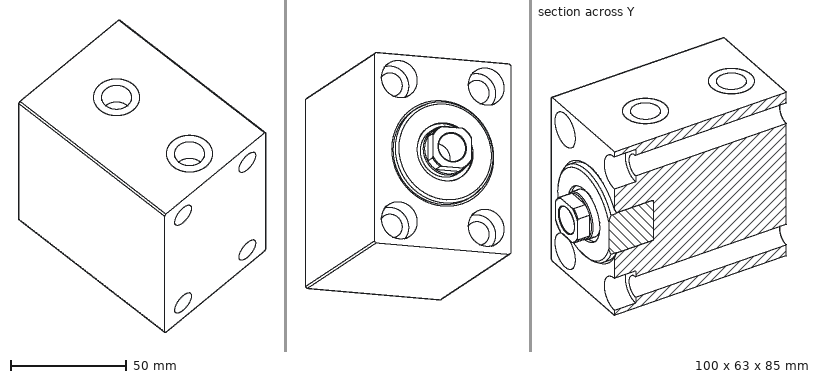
import cadquery as cq
import math

overall_length = 100.0
block_width = 63.0
block_height = 85.0
block_length = 88.0
block_front = overall_length - block_length
block_edge_chamfer = 0.8

mount_spacing_y = 40.0
mount_spacing_z = 63.0
mount_hole_diameter = 10.5
mount_head_diameter = 16.5
mount_head_depth = 10.8

first_port_x = 40.5
port_count = 2
port_spacing = 44.0
port_seat_diameter = 20.0
port_seat_depth = 0.1
port_diameter = 13.0
port_depth = 12.0
oilway_diameter = 4.0

gland_diameter = 45.0
gland_front = block_front - 3.0
gland_seat_depth = 20.0
gland_back = block_front + gland_seat_depth
gland_chamfer = 1.2
gland_seat_chamfer = 1.0
wiper_recess_diameter = 25.8
wiper_recess_depth = 1.5

rod_diameter = 21.8
rod_chamfer = 0.5
rod_shoulder_x = 6.3
rod_end = 88.0
tip_corner_diameter = 20.8
tip_chamfer = 0.4
wrench_size = 17.8

socket_diameter = 12.5
socket_depth = 20.0
socket_chamfer = 0.3
drill_point_angle = 118.0


def rod_cylinder(diameter, start, end):
    """Cylinder on the stroke axis between two X positions."""
    return cq.Workplane("YZ", origin=(start, 0, 0)).circle(diameter / 2).extrude(end - start)


def axis_cone(start_diameter, end_diameter, start, end):
    """Cone on the stroke axis that changes diameter between two X positions."""
    profile = [(start, 0), (start, start_diameter / 2), (end, end_diameter / 2)]
    if end_diameter > 0:
        profile.append((end, 0))
    return cq.Workplane("XY").polyline(profile).close().revolve(360, (0, 0, 0), (1, 0, 0))


def make_block():
    block = (
        cq.Workplane("XY")
        .box(block_length, block_width, block_height)
        .translate((block_front + block_length / 2, 0, 0))
        .edges("|X")
        .chamfer(block_edge_chamfer)
    )

    seat_mouth = gland_diameter + 2 * gland_seat_chamfer
    block = (
        block.cut(rod_cylinder(gland_diameter, block_front, gland_back))
        .cut(axis_cone(seat_mouth, gland_diameter, block_front, block_front + gland_seat_chamfer))
        .cut(rod_cylinder(rod_diameter, gland_back, rod_end))
    )

    block = (
        block.faces("<X")
        .workplane(origin=(block_front, 0, 0))
        .rarray(mount_spacing_y, mount_spacing_z, 2, 2)
        .cboreHole(mount_hole_diameter, mount_head_diameter, mount_head_depth)
    )

    port_places = [(first_port_x + i * port_spacing, 0) for i in range(port_count)]
    port_steps = [
        (port_seat_diameter, port_seat_depth),
        (port_diameter, port_depth),
        (oilway_diameter, block_height / 2),
    ]
    top = cq.Workplane("XY", origin=(0, 0, block_height / 2))
    for diameter, depth in port_steps:
        block = block.cut(top.pushPoints(port_places).circle(diameter / 2).extrude(-depth))
    return block


def make_gland():
    gland = rod_cylinder(gland_diameter, gland_front, gland_back).faces("<X").edges().chamfer(gland_chamfer)
    return gland.cut(rod_cylinder(rod_diameter, gland_front, gland_back)).cut(
        rod_cylinder(wiper_recess_diameter, gland_front, gland_front + wiper_recess_depth)
    )


def make_rod():
    shaft = rod_cylinder(rod_diameter, rod_shoulder_x, rod_end).faces("<X").edges().chamfer(rod_chamfer)

    tip_round = rod_cylinder(tip_corner_diameter, 0, rod_shoulder_x).faces("<X").edges().chamfer(tip_chamfer)
    tip_square = cq.Workplane("YZ").rect(wrench_size, wrench_size).extrude(rod_shoulder_x)
    rod = shaft.union(tip_round.intersect(tip_square))

    point_length = socket_diameter / 2 / math.tan(math.radians(drill_point_angle / 2))
    socket_mouth = socket_diameter + 2 * socket_chamfer
    return (
        rod.cut(rod_cylinder(socket_diameter, 0, socket_depth))
        .cut(axis_cone(socket_diameter, 0, socket_depth, socket_depth + point_length))
        .cut(axis_cone(socket_mouth, socket_diameter, 0, socket_chamfer))
    )


block = make_block()
gland = make_gland()
rod = make_rod()

result = cq.Compound.makeCompound([block.val(), gland.val(), rod.val()])